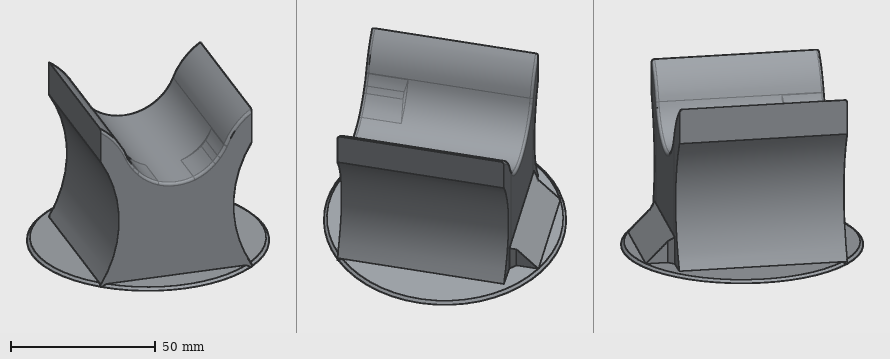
import cadquery as cq
import math

BASE_RADIUS = 42.0
BASE_THICKNESS = 1.0
BASE_BEVEL = 1.1

TOTAL_HEIGHT = 60.15
FRONT_X = -27.2
BACK_X = 32.1
HALF_WIDTH = 27.5
WAIST_HALF_WIDTH = 20.8
SHOULDER_Z = 47.6
RIM_FILLET = 1.0

SADDLE_BOTTOM_Z = 36.0
SADDLE_RADIUS = 18.9
SADDLE_HALF_WIDTH = 17.55
SADDLE_AXIS_Z = SADDLE_BOTTOM_Z + SADDLE_RADIUS

WING_SETBACK = 0.25

PAD_HEIGHT = 0.2
PAD_FRONT_X = 17.05
PAD_RAMP_LENGTH = 0.9
PAD_INNER_Y = 6.4
PAD_CREST_INNER_Y = 13.6
PAD_CREST_OUTER_Y = 15.3
PAD_OUTER_Y = 17.5
PAD_ROOT_DEPTH = 0.8

PLATE_DEPTH = 9.8
PLATE_FLARE = 2.0

MARGIN = 0.8


def saddle_point(y, height=0.0):
    """Profile point at the saddle's angle for y, raised by height towards the saddle axis."""
    angle = math.asin(y / SADDLE_RADIUS)
    radius = SADDLE_RADIUS - height
    return radius * math.sin(angle), SADDLE_AXIS_Z - radius * math.cos(angle)


def make_base():
    """Disc whose rim slopes over its full thickness."""
    return (
        cq.Workplane("XZ")
        .lineTo(BASE_RADIUS, 0)
        .lineTo(BASE_RADIUS - BASE_BEVEL, BASE_THICKNESS)
        .lineTo(0, BASE_THICKNESS)
        .close()
        .revolve(360, (0, 0), (0, 1))
    )


def make_body():
    """Half profile extruded along X and mirrored: saddle, wing, waist and foot."""
    waist_z = (BASE_THICKNESS + SHOULDER_Z) / 2
    half = (
        cq.Workplane("YZ", origin=(FRONT_X, 0, 0))
        .moveTo(0, SADDLE_BOTTOM_Z)
        .threePointArc(saddle_point(SADDLE_HALF_WIDTH / 2), saddle_point(SADDLE_HALF_WIDTH))
        .tangentArcPoint((HALF_WIDTH, TOTAL_HEIGHT), relative=False)
        .lineTo(HALF_WIDTH, SHOULDER_Z)
        .threePointArc((WAIST_HALF_WIDTH, waist_z), (HALF_WIDTH, BASE_THICKNESS))
        .lineTo(HALF_WIDTH, 0)
        .lineTo(0, 0)
        .close()
        .extrude(BACK_X - FRONT_X)
    )
    return half.mirror("XZ", union=True)


def make_wing_cut():
    """Thin wedge that leans back the +Y wing of the front face."""
    return (
        cq.Workplane("XY")
        .moveTo(FRONT_X, SADDLE_HALF_WIDTH)
        .lineTo(FRONT_X + WING_SETBACK, HALF_WIDTH)
        .lineTo(FRONT_X, HALF_WIDTH)
        .close()
        .extrude(TOTAL_HEIGHT)
    )


def make_grip_pad():
    """Pad on the +Y side: it swells to a crest, and its front end ramps up from the saddle."""
    rise_y = (PAD_INNER_Y + PAD_CREST_INNER_Y) / 2
    crest_y = (PAD_CREST_INNER_Y + PAD_CREST_OUTER_Y) / 2
    fall_y = (PAD_CREST_OUTER_Y + PAD_OUTER_Y) / 2
    root_y = (PAD_INNER_Y + PAD_OUTER_Y) / 2
    pad = (
        cq.Workplane("YZ", origin=(PAD_FRONT_X, 0, 0))
        .moveTo(*saddle_point(PAD_INNER_Y))
        .threePointArc(
            saddle_point(rise_y, PAD_HEIGHT / 2),
            saddle_point(PAD_CREST_INNER_Y, PAD_HEIGHT),
        )
        .threePointArc(
            saddle_point(crest_y, PAD_HEIGHT),
            saddle_point(PAD_CREST_OUTER_Y, PAD_HEIGHT),
        )
        .threePointArc(saddle_point(fall_y, PAD_HEIGHT / 2), saddle_point(PAD_OUTER_Y))
        .lineTo(*saddle_point(PAD_OUTER_Y, -PAD_ROOT_DEPTH))
        .threePointArc(
            saddle_point(root_y, -PAD_ROOT_DEPTH),
            saddle_point(PAD_INNER_Y, -PAD_ROOT_DEPTH),
        )
        .close()
        .extrude(BACK_X - PAD_FRONT_X)
    )
    ramp_cone = (
        cq.Workplane("YZ", origin=(PAD_FRONT_X, 0, SADDLE_AXIS_Z))
        .circle(SADDLE_RADIUS)
        .workplane(offset=PAD_RAMP_LENGTH)
        .circle(SADDLE_RADIUS - PAD_HEIGHT)
        .loft()
    )
    return pad.cut(ramp_cone)


def round_saddle_ends(body):
    """Fillet the curved edges of the saddle at both ends of the body."""
    for end_x in (FRONT_X, BACK_X):
        saddle_edges = cq.selectors.BoxSelector(
            (end_x - MARGIN, MARGIN - HALF_WIDTH, SADDLE_BOTTOM_Z),
            (end_x + MARGIN, HALF_WIDTH - MARGIN, TOTAL_HEIGHT),
        )
        body = body.edges(saddle_edges).fillet(RIM_FILLET)
    return body


def make_name_plate():
    """Wedge with a 45 degree face, flared where it meets the body."""
    tip_x = FRONT_X - PLATE_DEPTH
    flare_x = FRONT_X - PLATE_FLARE
    half_width = SADDLE_HALF_WIDTH
    root_half_width = half_width + PLATE_FLARE
    inside_x = FRONT_X + MARGIN
    wedge = (
        cq.Workplane("XZ", origin=(0, HALF_WIDTH, 0))
        .moveTo(tip_x, BASE_THICKNESS)
        .lineTo(FRONT_X, BASE_THICKNESS + PLATE_DEPTH)
        .lineTo(inside_x, BASE_THICKNESS + PLATE_DEPTH)
        .lineTo(inside_x, BASE_THICKNESS)
        .close()
        .extrude(2 * HALF_WIDTH)
    )
    half_footprint = (
        cq.Workplane("XY")
        .moveTo(tip_x, 0)
        .lineTo(tip_x, half_width)
        .lineTo(flare_x, half_width)
        .lineTo(FRONT_X, root_half_width)
        .lineTo(inside_x, root_half_width)
        .lineTo(inside_x, 0)
        .close()
        .extrude(TOTAL_HEIGHT)
    )
    return wedge.intersect(half_footprint.mirror("XZ", union=True))


wing_cut = make_wing_cut()
grip_pad = make_grip_pad()
body = make_body().cut(wing_cut).cut(wing_cut.mirror("XZ"))
body = body.union(grip_pad).union(grip_pad.mirror("XZ"))
body = round_saddle_ends(body)

result = make_base().union(body).union(make_name_plate())